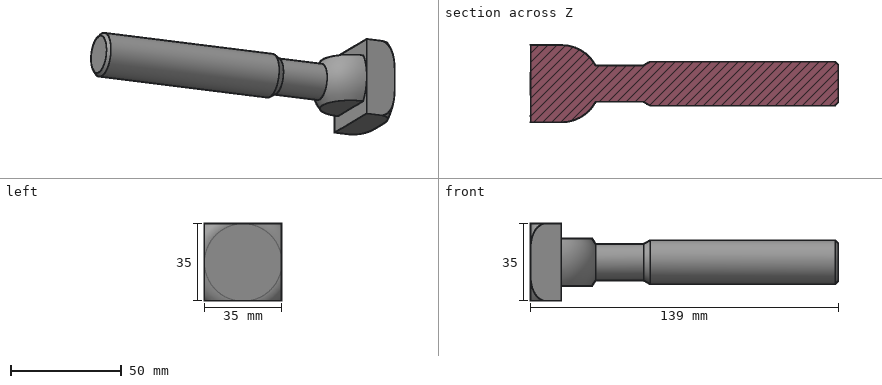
import cadquery as cq
import math

total_length = 139.0
head_side = 35.0
head_thickness = 14.0
corner_radius = 7.25

ball_radius = head_side / 2
ball_width = 21.5

thread_diameter = 20.0
neck_diameter = 16.6
thread_length = 85.0
end_chamfer = 1.5
cone_angle = 30.0

thread_radius = thread_diameter / 2
neck_radius = neck_diameter / 2
thread_depth = thread_radius - neck_radius
thread_start = total_length - thread_length
cone_start = thread_start - thread_depth / math.tan(math.radians(cone_angle))


def make_head():
    """Square head whose outer corners are rounded by a filleted turned disc."""
    block = cq.Workplane("YZ").rect(head_side, head_side).extrude(head_thickness)
    disc_radius = head_side / 2 + corner_radius
    disc = cq.Workplane("YZ").circle(disc_radius).extrude(head_thickness)
    disc = disc.faces("<X").edges().fillet(corner_radius)
    return block.intersect(disc)


def make_ball():
    """Hemisphere on the back of the head, cut to a flat above and below."""
    sphere = cq.Workplane("XY").sphere(ball_radius).translate((head_thickness, 0, 0))
    slab = cq.Workplane("XY").box(
        ball_radius, head_side, ball_width, centered=(False, True, True)
    ).translate((head_thickness, 0, 0))
    return sphere.intersect(slab)


def make_shank():
    """Neck, cone and threaded length, turned around the bolt axis."""
    profile = (
        cq.Workplane("XY")
        .moveTo(head_thickness, 0)
        .lineTo(head_thickness, neck_radius)
        .lineTo(cone_start, neck_radius)
        .lineTo(thread_start, thread_radius)
        .lineTo(total_length - end_chamfer, thread_radius)
        .lineTo(total_length, thread_radius - end_chamfer)
        .lineTo(total_length, 0)
        .close()
    )
    return profile.revolve(360, (0, 0, 0), (1, 0, 0))


result = make_head().union(make_ball()).union(make_shank())